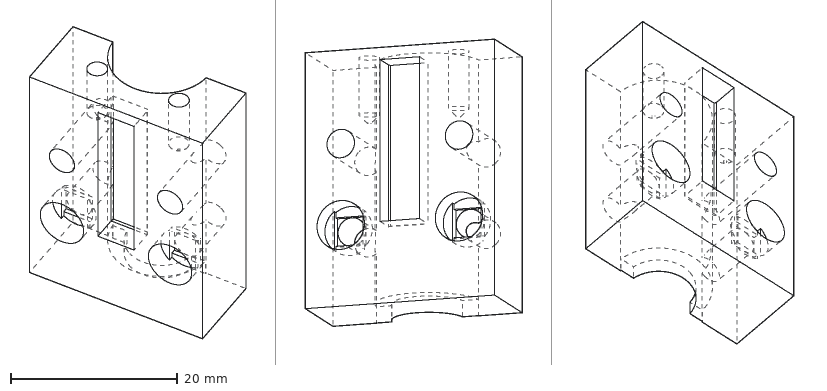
import cadquery as cq

WIDTH = 24.0
DEPTH = 10.5
HEIGHT = 31.5

CHANNEL_RADIUS = 6.5
LIP_RADIUS = 4.5
CHANNEL_AXIS_Y = DEPTH + 0.5
LIP_HEIGHT = 2.02
LIP_SETBACK = 0.1

POCKET_WIDTH = 5.0
POCKET_LENGTH = 19.9
POCKET_DEPTH = 3.5
POCKET_TOP_MARGIN = 1.5
POCKET_TAPER_DEPTH = 0.3
POCKET_TAPER_INSET = 0.13

SCREW_DIAMETER = 3.5
SCREW_X = 7.5
UPPER_SCREW_Z = 20.0
LOWER_SCREW_Z = 10.0
COUNTERBORE_DIAMETER = 6.02
COUNTERBORE_DEPTH = 3.0
STEP_DEPTH = 0.6
STEP_WIDTH = 3.62

PIN_DIAMETER = 2.5
PIN_X = 5.67
PIN_Y = CHANNEL_AXIS_Y - PIN_X
PIN_DEPTH = 7.0
PIN_TIP_HEIGHT = 1.05
PIN_TIP_DIAMETER = 0.4


def upright_cylinder(radius, bottom, top):
    """Cylinder about the channel axis between two heights."""
    return (
        cq.Workplane("XY", origin=(0, CHANNEL_AXIS_Y, bottom))
        .circle(radius)
        .extrude(top - bottom)
    )


def front_cylinder(x, z, diameter, length):
    """Cylinder running back from the front face."""
    return cq.Workplane("XZ", origin=(x, 0, z)).circle(diameter / 2).extrude(-length)


def front_box(x, z, width, height, length):
    """Rectangular prism running back from the front face."""
    return cq.Workplane("XZ", origin=(x, 0, z)).rect(width, height).extrude(-length)


def channel():
    """Channel space, leaving the lip at the bottom of the block."""
    wide = upright_cylinder(CHANNEL_RADIUS, LIP_HEIGHT, HEIGHT)
    narrow = upright_cylinder(LIP_RADIUS, 0, HEIGHT)
    setback_y = DEPTH - LIP_SETBACK
    setback = upright_cylinder(CHANNEL_RADIUS, 0, HEIGHT).intersect(
        cq.Workplane("XY").box(WIDTH, DEPTH, HEIGHT, centered=(True, False, False))
        .translate((0, setback_y, 0))
    )
    return wide.union(narrow).union(setback)


def pocket():
    """Rectangular pocket with a straight mouth and a slightly tapered floor."""
    straight_depth = POCKET_DEPTH - POCKET_TAPER_DEPTH
    center_z = HEIGHT - POCKET_TOP_MARGIN - POCKET_LENGTH / 2
    mouth = front_box(0, center_z, POCKET_WIDTH, POCKET_LENGTH, straight_depth)
    floor_width = POCKET_WIDTH - 2 * POCKET_TAPER_INSET
    floor_length = POCKET_LENGTH - POCKET_TAPER_INSET
    taper = (
        cq.Workplane("XZ", origin=(0, straight_depth, center_z))
        .rect(POCKET_WIDTH, POCKET_LENGTH)
        .workplane(offset=-POCKET_TAPER_DEPTH)
        .center(0, POCKET_TAPER_INSET / 2)
        .rect(floor_width, floor_length)
        .loft(ruled=True)
    )
    return mouth.union(taper)


def stepped_counterbore(x):
    """Round counterbore, then a flat-sided slot, then a square, each one step deeper."""
    bore = front_cylinder(x, LOWER_SCREW_Z, COUNTERBORE_DIAMETER, COUNTERBORE_DEPTH)
    slot_depth = COUNTERBORE_DEPTH + STEP_DEPTH
    slot = front_cylinder(x, LOWER_SCREW_Z, COUNTERBORE_DIAMETER, slot_depth).intersect(
        front_box(x, LOWER_SCREW_Z, STEP_WIDTH, COUNTERBORE_DIAMETER, slot_depth)
    )
    square = front_box(x, LOWER_SCREW_Z, STEP_WIDTH, SCREW_DIAMETER, slot_depth + STEP_DEPTH)
    return bore.union(slot).union(square)


def pin_hole(x):
    """Blind round hole ending in a cone with a small flat tip."""
    shoulder_z = HEIGHT - PIN_DEPTH
    return (
        cq.Workplane("XZ")
        .moveTo(0, HEIGHT)
        .lineTo(PIN_DIAMETER / 2, HEIGHT)
        .lineTo(PIN_DIAMETER / 2, shoulder_z)
        .lineTo(PIN_TIP_DIAMETER / 2, shoulder_z - PIN_TIP_HEIGHT)
        .lineTo(0, shoulder_z - PIN_TIP_HEIGHT)
        .close()
        .revolve(360, (0, 0, 0), (0, 1, 0))
        .translate((x, PIN_Y, 0))
    )


result = cq.Workplane("XY").box(WIDTH, DEPTH, HEIGHT, centered=(True, False, False))
result = result.cut(channel()).cut(pocket())
for side in (-1, 1):
    result = result.cut(front_cylinder(side * SCREW_X, UPPER_SCREW_Z, SCREW_DIAMETER, DEPTH))
    result = result.cut(front_cylinder(side * SCREW_X, LOWER_SCREW_Z, SCREW_DIAMETER, DEPTH))
    result = result.cut(stepped_counterbore(side * SCREW_X))
    result = result.cut(pin_hole(side * PIN_X))